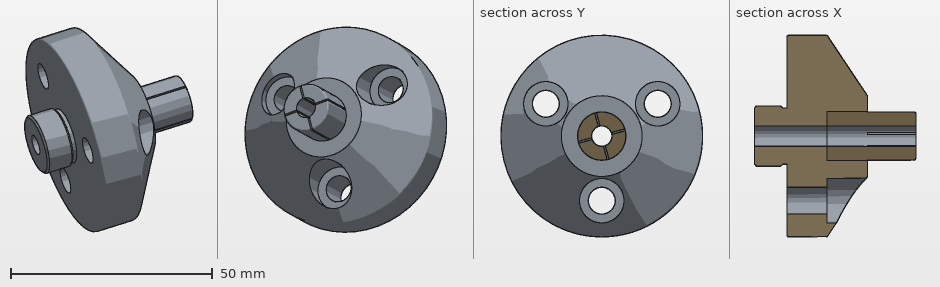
import cadquery as cq
import math


flange_diameter = 50.0
rim_thickness = 10.0
taper_length = 10.0
back_face_diameter = 20.0
rim_edge_radius = 0.5
spigot_diameter = 15.0
spigot_length = 8.0
spigot_chamfer = 0.5
groove_diameter = 14.0
groove_width = 1.0

bolt_count = 3
bolt_circle_radius = 16.0
bolt_hole_diameter = 6.6
counterbore_diameter = 11.0
first_bolt_angle = 30.0

bore_diameter = 5.0
pin_diameter = 12.0
pin_projection = 12.0
pin_seat_depth = 10.0
pin_edge_radius = 0.5
slit_width = 0.4
slit_count = 2
slit_angle = -15.0

flange_radius = flange_diameter / 2
spigot_radius = spigot_diameter / 2
groove_radius = groove_diameter / 2
back_face_y = rim_thickness + taper_length
pin_end_y = back_face_y + pin_projection
pin_seat_y = back_face_y - pin_seat_depth


def cylinder_along_y(diameter, start_y, end_y, x=0.0, z=0.0):
    """Cylinder parallel to Y, from start_y to the larger end_y."""
    base = cq.Workplane("XZ", origin=(x, start_y, z))
    return base.circle(diameter / 2).extrude(start_y - end_y)


def make_flange_blank():
    """Revolved profile; sketch coordinates are radius and Y."""
    profile = [
        (0, -spigot_length),
        (spigot_radius - spigot_chamfer, -spigot_length),
        (spigot_radius, -spigot_length + spigot_chamfer),
        (spigot_radius, -groove_width - (spigot_radius - groove_radius)),
        (groove_radius, -groove_width),
        (groove_radius, 0),
        (flange_radius, 0),
        (flange_radius, rim_thickness),
        (back_face_diameter / 2, back_face_y),
        (0, back_face_y),
    ]
    blank = cq.Workplane("XY").polyline(profile).close().revolve(360, (0, 0, 0), (0, 1, 0))
    rim_edges = cq.selectors.RadiusNthSelector(-1)
    return blank.edges("%CIRCLE").edges(rim_edges).fillet(rim_edge_radius)


def cut_bolt_holes(body):
    for index in range(bolt_count):
        angle = math.radians(first_bolt_angle + index * 360 / bolt_count)
        x = bolt_circle_radius * math.cos(angle)
        z = bolt_circle_radius * math.sin(angle)
        body = body.cut(cylinder_along_y(bolt_hole_diameter, 0, back_face_y, x, z))
        body = body.cut(cylinder_along_y(counterbore_diameter, rim_thickness, back_face_y, x, z))
    return body


def make_flange():
    flange = cut_bolt_holes(make_flange_blank())
    flange = flange.cut(cylinder_along_y(bore_diameter, -spigot_length, back_face_y))
    return flange.cut(cylinder_along_y(pin_diameter, pin_seat_y, back_face_y))


def make_split_pin():
    """Hollow pin whose projecting end is split by crossed slits."""
    pin = cylinder_along_y(pin_diameter, pin_seat_y, pin_end_y)
    pin = pin.faces(">Y").edges().fillet(pin_edge_radius)
    pin = pin.cut(cylinder_along_y(bore_diameter, pin_seat_y, pin_end_y))
    for index in range(slit_count):
        slit = cq.Workplane("XY").box(pin_diameter, pin_projection, slit_width)
        slit = slit.translate((0, back_face_y + pin_projection / 2, 0))
        turn = slit_angle + index * 180 / slit_count
        pin = pin.cut(slit.rotate((0, 0, 0), (0, 1, 0), -turn))
    return pin


flange = make_flange()
split_pin = make_split_pin()
result = cq.Compound.makeCompound([flange.val(), split_pin.val()])